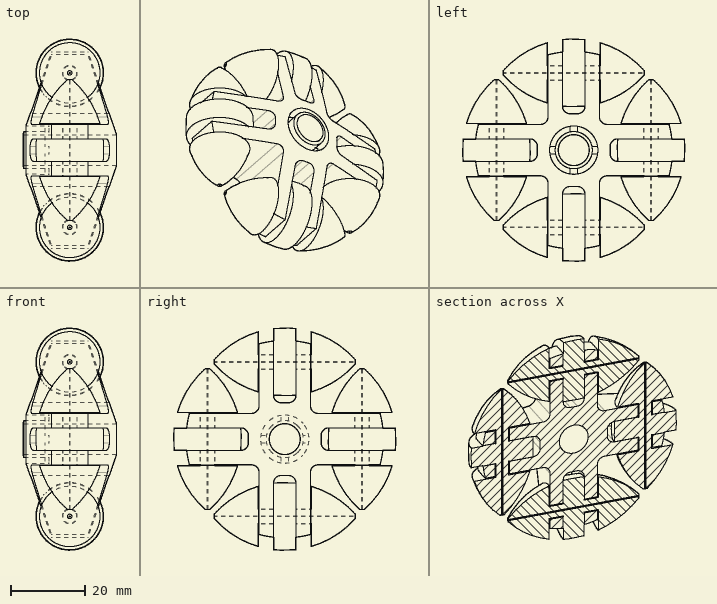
import cadquery as cq
import math

WHEEL_RADIUS = 30.0
BODY_RADIUS = 26.65
BORE_DIAMETER = 8.3
HALF_WIDTH_AT_BORE = 12.65
HALF_WIDTH_AT_RIM = 4.9
SPOKE_COUNT = 4

ARM_HALF_WIDTH = 6.95
SLOT_WIDTH = 6.0
SLOT_FLOOR_RADIUS = 9.85
CORNER_RADIUS = 2.0

GROOVE_INNER_DIAMETER = 10.0
GROOVE_OUTER_DIAMETER = 13.0
GROOVE_DEPTH = 6.0
NOTCH_WIDTH = 2.05
NOTCH_DEPTH = 1.0

ROLLER_RADIUS = 9.2
ROLLER_HALF_LENGTH = 19.0
TIP_RADIUS = 0.6
TIP_HOLE_DIAMETER = 0.2
SIDE_GAP = 0.2
SHAFT_DIAMETER = 3.8
SHAFT_HOLE_DIAMETER = 4.0

roller_distance = WHEEL_RADIUS - ROLLER_RADIUS
cone_start = ARM_HALF_WIDTH + SIDE_GAP
profile_drop = ROLLER_RADIUS - TIP_RADIUS
profile_radius = (ROLLER_HALF_LENGTH**2 + profile_drop**2) / (2 * profile_drop)
spoke_angles = [i * 360 / SPOKE_COUNT for i in range(SPOKE_COUNT)]


def about_x(shape, angle):
    """Turn a shape about the wheel axis."""
    return shape.rotate((0, 0, 0), (1, 0, 0), angle)


def hub_ring(start, length):
    """Ring with the groove's two diameters, from x = start towards +X."""
    return (
        cq.Workplane("YZ", origin=(start, 0, 0))
        .circle(GROOVE_OUTER_DIAMETER / 2)
        .circle(GROOVE_INNER_DIAMETER / 2)
        .extrude(length)
    )


def double_cone():
    """Ring whose two sides taper from the bore to the rim."""
    bore_radius = BORE_DIAMETER / 2
    return (
        cq.Workplane("XY")
        .moveTo(-HALF_WIDTH_AT_BORE, bore_radius)
        .lineTo(HALF_WIDTH_AT_BORE, bore_radius)
        .lineTo(HALF_WIDTH_AT_RIM, BODY_RADIUS)
        .lineTo(-HALF_WIDTH_AT_RIM, BODY_RADIUS)
        .close()
        .revolve(360, (0, 0, 0), (1, 0, 0))
    )


def arm_slot():
    """Cutter for the slot between the two prongs of the +Z arm."""
    height = WHEEL_RADIUS - SLOT_FLOOR_RADIUS
    return (
        cq.Workplane("XY", origin=(0, 0, SLOT_FLOOR_RADIUS))
        .box(2 * HALF_WIDTH_AT_BORE, SLOT_WIDTH, height, centered=(True, True, False))
        .edges("|X and <Z")
        .fillet(CORNER_RADIUS)
    )


def corner_pocket():
    """Cutter for the space between the +Y and +Z arms."""
    side = WHEEL_RADIUS - ARM_HALF_WIDTH
    return (
        cq.Workplane("XY", origin=(0, ARM_HALF_WIDTH, ARM_HALF_WIDTH))
        .box(2 * HALF_WIDTH_AT_BORE, side, side, centered=(True, False, False))
        .edges("|X and <Y and <Z")
        .fillet(CORNER_RADIUS)
    )


def shaft_hole():
    """Cutter for the roller shaft in both prongs of the +Z arm."""
    return (
        cq.Workplane("XZ", origin=(0, 0, roller_distance))
        .circle(SHAFT_HOLE_DIAMETER / 2)
        .extrude(ARM_HALF_WIDTH, both=True)
    )


def hub_groove():
    """Cutter for the ring groove and the four notches in its floor."""
    floor_x = GROOVE_DEPTH - HALF_WIDTH_AT_BORE
    bar = cq.Workplane("YZ", origin=(floor_x, 0, 0))
    bar = bar.rect(NOTCH_WIDTH, GROOVE_OUTER_DIAMETER).extrude(NOTCH_DEPTH)
    cross = bar.union(about_x(bar, 90))
    notches = hub_ring(floor_x, NOTCH_DEPTH).intersect(cross)
    return hub_ring(-HALF_WIDTH_AT_BORE, GROOVE_DEPTH).union(notches)


def make_wheel_body():
    body = double_cone().cut(hub_groove())
    for angle in spoke_angles:
        for cutter in (arm_slot(), corner_pocket(), shaft_hole()):
            body = body.cut(about_x(cutter, angle))
    return body


def profile_height(y):
    """Radius of the roller at distance y from its middle, on one circular arc."""
    return ROLLER_RADIUS - profile_radius + math.sqrt(profile_radius**2 - y**2)


def roller_piece(start, end):
    """Part of the spindle between two positions along Y."""
    middle = (start + end) / 2
    return (
        cq.Workplane("XY")
        .moveTo(0, start)
        .lineTo(profile_height(start), start)
        .threePointArc((profile_height(middle), middle), (profile_height(end), end))
        .lineTo(0, end)
        .close()
        .revolve(360, (0, 0, 0), (0, 1, 0))
    )


def make_roller():
    """Roller along Y: a middle disc and two pointed ends on one shaft."""
    shaft = cq.Workplane("XZ").circle(SHAFT_DIAMETER / 2).extrude(cone_start, both=True)
    tip_hole = cq.Workplane("XZ").circle(TIP_HOLE_DIAMETER / 2).extrude(ROLLER_HALF_LENGTH, both=True)
    roller = (
        roller_piece(-SLOT_WIDTH / 2, SLOT_WIDTH / 2)
        .union(shaft)
        .union(roller_piece(cone_start, ROLLER_HALF_LENGTH))
        .union(roller_piece(-ROLLER_HALF_LENGTH, -cone_start))
        .cut(tip_hole)
    )
    return roller.translate((0, 0, roller_distance))


wheel_body = make_wheel_body()
rollers = [about_x(make_roller(), angle) for angle in spoke_angles]

result = cq.Compound.makeCompound([wheel_body.val(), *[roller.val() for roller in rollers]])